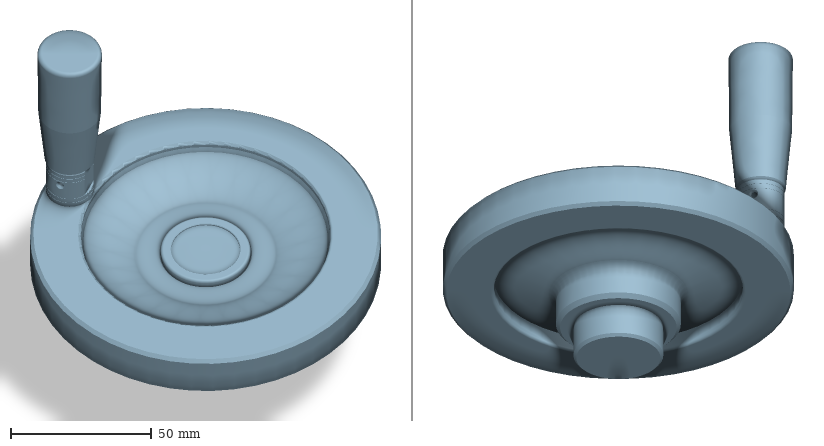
import cadquery as cq
import math


RIM_RADIUS = 62.5
RIM_BOTTOM_Z = 27.0
RIM_TOP_Z = 43.5
RIM_CHAMFER = 1.2
RIM_INNER_RADIUS = 44.4
RIM_INNER_ROUND = 1.0

FLOOR_Z = 33.2
FLOOR_RADIUS = 25.0
WEB_EDGE_RADIUS = 43.5
WEB_EDGE_Z = 39.7
WALL_FOOT_Z = 41.3
FLOOR_EDGE_BLEND = 0.3
UNDERSIDE_RADIUS = 24.6
UNDERSIDE_Z = 26.0

HUB_RADIUS = 22.25
HUB_BOTTOM_Z = 12.5
HUB_CHAMFER = 1.5
HUB_FILLET_START_Z = 22.5
BUSH_RADIUS = 16.0
BUSH_TOP_Z = FLOOR_Z + 2.4
BUSH_BOTTOM_CHAMFER = 1.0
BUSH_TOP_FILLET = 1.0
BUSH_SEAT_CHAMFER = 0.5
RECESS_RADIUS = 12.2
RECESS_DEPTH = 0.7
RECESS_CHAMFER = 0.25

HANDLE_OFFSET = 53.0
GRIP_TOP_Z = 115.0
GRIP_TOP_RADIUS = 11.5
GRIP_TOP_FILLET = 1.5
GRIP_WAIST_Z = 84.5
GRIP_WAIST_RADIUS = 11.2
GRIP_BOTTOM_Z = 59.8
GRIP_BOTTOM_RADIUS = 8.9
GRIP_BOTTOM_CHAMFER = 0.8

JOINT_RADIUS = 8.5
JOINT_EMBED = 2.0
FLAT_DISTANCE = 7.5
FLAT_BOTTOM_Z = 47.5
SEAM_HEIGHTS = (45.5, FLAT_BOTTOM_Z, 55.9, 57.8)
SEAM_WIDTH = 0.2
SEAM_DEPTH = 0.1
JOINT_TOP_CHAMFER = 0.3
PIN_HOLE_Z = 53.7
PIN_HOLE_DIAMETER = 2.2
PIN_SINK_DIAMETER = 3.5


def make_wheel():
    """Revolve the rim, the web and the hub as one section."""
    web_angle = math.atan2(WEB_EDGE_Z - FLOOR_Z, WEB_EDGE_RADIUS - FLOOR_RADIUS)
    underside_edge_z = UNDERSIDE_Z + math.tan(web_angle) * (RIM_INNER_RADIUS - UNDERSIDE_RADIUS)
    blend_start = (
        FLOOR_RADIUS + FLOOR_EDGE_BLEND * math.cos(web_angle),
        FLOOR_Z + FLOOR_EDGE_BLEND * math.sin(web_angle),
    )
    round_mid = RIM_INNER_ROUND * (1 - math.sqrt(0.5))

    section = (
        cq.Workplane("XZ")
        .moveTo(0, HUB_BOTTOM_Z)
        .lineTo(HUB_RADIUS - HUB_CHAMFER, HUB_BOTTOM_Z)
        .lineTo(HUB_RADIUS, HUB_BOTTOM_Z + HUB_CHAMFER)
        .lineTo(HUB_RADIUS, HUB_FILLET_START_Z)
        .tangentArcPoint((UNDERSIDE_RADIUS, UNDERSIDE_Z), relative=False)
        .lineTo(RIM_INNER_RADIUS, underside_edge_z)
        .lineTo(RIM_INNER_RADIUS, RIM_BOTTOM_Z + RIM_INNER_ROUND)
        .threePointArc(
            (RIM_INNER_RADIUS + round_mid, RIM_BOTTOM_Z + round_mid),
            (RIM_INNER_RADIUS + RIM_INNER_ROUND, RIM_BOTTOM_Z),
        )
        .lineTo(RIM_RADIUS - RIM_CHAMFER, RIM_BOTTOM_Z)
        .lineTo(RIM_RADIUS, RIM_BOTTOM_Z + RIM_CHAMFER)
        .lineTo(RIM_RADIUS, RIM_TOP_Z - RIM_CHAMFER)
        .lineTo(RIM_RADIUS - RIM_CHAMFER, RIM_TOP_Z)
        .lineTo(RIM_INNER_RADIUS + RIM_INNER_ROUND, RIM_TOP_Z)
        .threePointArc(
            (RIM_INNER_RADIUS + round_mid, RIM_TOP_Z - round_mid),
            (RIM_INNER_RADIUS, RIM_TOP_Z - RIM_INNER_ROUND),
        )
        .lineTo(RIM_INNER_RADIUS, WALL_FOOT_Z)
        .lineTo(WEB_EDGE_RADIUS, WEB_EDGE_Z)
        .lineTo(*blend_start)
        .tangentArcPoint((FLOOR_RADIUS - FLOOR_EDGE_BLEND, FLOOR_Z), relative=False)
        .lineTo(0, FLOOR_Z)
        .close()
    )
    return section.revolve(360, (0, 0), (0, 1))


def cut_bush_seat(body):
    """Chamfer the mouth of the hub bore around the bush."""
    seat = cq.Solid.makeCone(
        BUSH_RADIUS,
        BUSH_RADIUS + BUSH_SEAT_CHAMFER,
        BUSH_SEAT_CHAMFER,
        pnt=cq.Vector(0, 0, FLOOR_Z - BUSH_SEAT_CHAMFER),
    )
    return body.cut(cq.Workplane(obj=seat))


def make_bush():
    """Plain bush with a shallow chamfered recess in its top face."""
    bush = cq.Workplane("XY").circle(BUSH_RADIUS).extrude(BUSH_TOP_Z)
    bush = bush.faces("<Z").chamfer(BUSH_BOTTOM_CHAMFER)
    bush = bush.faces(">Z").edges().fillet(BUSH_TOP_FILLET)
    recess_section = (
        cq.Workplane("XZ")
        .moveTo(0, BUSH_TOP_Z - RECESS_DEPTH)
        .lineTo(RECESS_RADIUS, BUSH_TOP_Z - RECESS_DEPTH)
        .lineTo(RECESS_RADIUS, BUSH_TOP_Z - RECESS_CHAMFER)
        .lineTo(RECESS_RADIUS + RECESS_CHAMFER, BUSH_TOP_Z)
        .lineTo(0, BUSH_TOP_Z)
        .close()
    )
    return bush.cut(recess_section.revolve(360, (0, 0), (0, 1)))


def make_grip():
    """Two stacked cones, rounded at the top and chamfered at the foot."""
    section = (
        cq.Workplane("XZ")
        .moveTo(0, GRIP_BOTTOM_Z)
        .lineTo(GRIP_BOTTOM_RADIUS, GRIP_BOTTOM_Z)
        .lineTo(GRIP_WAIST_RADIUS, GRIP_WAIST_Z)
        .lineTo(GRIP_TOP_RADIUS, GRIP_TOP_Z)
        .lineTo(0, GRIP_TOP_Z)
        .close()
    )
    grip = section.revolve(360, (0, 0), (0, 1))
    grip = grip.faces(">Z").edges().fillet(GRIP_TOP_FILLET)
    return grip.faces("<Z").chamfer(GRIP_BOTTOM_CHAMFER)


def make_joint():
    """Round joint with seams, a flat facing the wheel axis and a cross pin hole."""
    base_z = RIM_TOP_Z - JOINT_EMBED
    joint = cq.Workplane("XY").workplane(offset=base_z).circle(JOINT_RADIUS).extrude(GRIP_BOTTOM_Z - base_z)
    joint = joint.faces(">Z").chamfer(JOINT_TOP_CHAMFER)
    for seam_z in SEAM_HEIGHTS:
        seam = (
            cq.Workplane("XY")
            .workplane(offset=seam_z - SEAM_WIDTH / 2)
            .circle(JOINT_RADIUS + SEAM_DEPTH)
            .circle(JOINT_RADIUS - SEAM_DEPTH)
            .extrude(SEAM_WIDTH)
        )
        joint = joint.cut(seam)
    flat = (
        cq.Workplane("XY")
        .workplane(offset=FLAT_BOTTOM_Z)
        .moveTo(FLAT_DISTANCE + JOINT_RADIUS, 0)
        .rect(2 * JOINT_RADIUS, 2 * JOINT_RADIUS)
        .extrude(GRIP_BOTTOM_Z - FLAT_BOTTOM_Z)
    )
    return cut_pin_hole(joint.cut(flat))


def cut_pin_hole(joint):
    """Drill the pin hole along Y and countersink both ends."""
    middle = cq.Workplane("XZ").center(0, PIN_HOLE_Z)
    joint = joint.cut(middle.circle(PIN_HOLE_DIAMETER / 2).extrude(JOINT_RADIUS, both=True))
    sink_depth = (PIN_SINK_DIAMETER - PIN_HOLE_DIAMETER) / 2
    for side in (-1, 1):
        sink = cq.Solid.makeCone(
            PIN_SINK_DIAMETER / 2,
            PIN_HOLE_DIAMETER / 2,
            sink_depth,
            pnt=cq.Vector(0, side * JOINT_RADIUS, PIN_HOLE_Z),
            dir=cq.Vector(0, -side, 0),
        )
        joint = joint.cut(cq.Workplane(obj=sink))
    return joint


handle = make_joint().union(make_grip()).translate((-HANDLE_OFFSET, 0, 0))
result = cut_bush_seat(make_wheel()).union(make_bush()).union(handle)